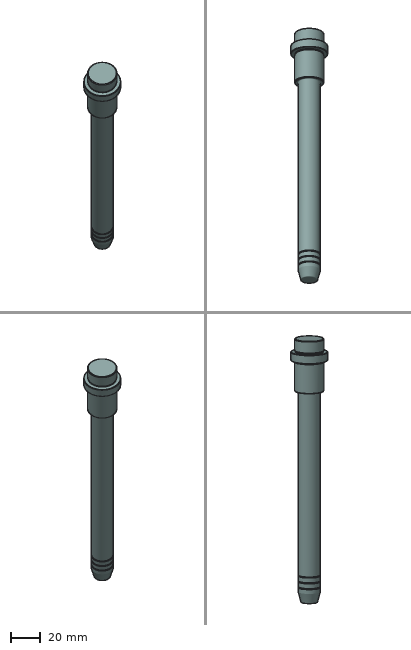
import cadquery as cq
import math

length = 181.0
flange_diameter = 25.0
collar_diameter = 20.0
shaft_diameter = 15.0

head_height = 9.0
flange_height = 6.0
collar_height = 21.2
nose_height = 7.0
nose_angle = 15.0

head_chamfer = 0.5
collar_chamfer = 0.5
flange_chamfer = 0.4
nose_fillet = 0.5
root_fillet = 0.4
relief_width = 1.0
relief_depth = 0.4
oil_groove_width = 0.9
oil_groove_depth = 0.4
oil_groove_count = 3
oil_groove_pitch = 4.0
lowest_oil_groove_z = 10.5

flange_top = length - head_height
flange_bottom = flange_top - flange_height
collar_bottom = flange_bottom - collar_height


def cylinder(diameter, bottom, top):
    """Solid cylinder on the Z axis between two heights."""
    return cq.Workplane("XY").workplane(offset=bottom).circle(diameter / 2).extrude(top - bottom)


def relief_groove(flange_face_z, width):
    """Ring cutter running from a flange face along Z by a signed width, ramping out at the far end."""
    surface = collar_diameter / 2
    floor = surface - relief_depth
    end_z = flange_face_z + width
    ramp_start_z = end_z - math.copysign(relief_depth, width)
    return (
        cq.Workplane("XZ")
        .moveTo(surface, flange_face_z)
        .lineTo(floor, flange_face_z)
        .lineTo(floor, ramp_start_z)
        .lineTo(surface, end_z)
        .close()
        .revolve(360, (0, 0, 0), (0, 1, 0))
    )


def oil_groove(z):
    """V-shaped ring cutter centred on a height of the shaft."""
    surface = shaft_diameter / 2
    return (
        cq.Workplane("XZ")
        .moveTo(surface, z - oil_groove_width / 2)
        .lineTo(surface - oil_groove_depth, z)
        .lineTo(surface, z + oil_groove_width / 2)
        .close()
        .revolve(360, (0, 0, 0), (0, 1, 0))
    )


def shaft_with_nose():
    """Shaft with a tapered, round-edged nose and a concave fillet flaring out below the collar."""
    shaft_radius = shaft_diameter / 2
    tip_radius = shaft_radius - nose_height * math.tan(math.radians(nose_angle))
    shaft = (
        cq.Workplane("XZ")
        .lineTo(tip_radius, 0)
        .lineTo(shaft_radius, nose_height)
        .lineTo(shaft_radius, collar_bottom - root_fillet)
        .radiusArc((shaft_radius + root_fillet, collar_bottom), root_fillet)
        .lineTo(0, collar_bottom)
        .close()
        .revolve(360, (0, 0, 0), (0, 1, 0))
    )
    return shaft.faces("<Z").edges().fillet(nose_fillet)


head = cylinder(collar_diameter, flange_top, length).faces(">Z").edges().chamfer(head_chamfer)
flange = cylinder(flange_diameter, flange_bottom, flange_top).edges("%CIRCLE").chamfer(flange_chamfer)
collar = cylinder(collar_diameter, collar_bottom, flange_bottom).faces("<Z").edges().chamfer(collar_chamfer)

result = shaft_with_nose().union(collar).union(flange).union(head)

result = result.cut(relief_groove(flange_top, relief_width))
result = result.cut(relief_groove(flange_bottom, -relief_width))

for index in range(oil_groove_count):
    result = result.cut(oil_groove(lowest_oil_groove_z + index * oil_groove_pitch))